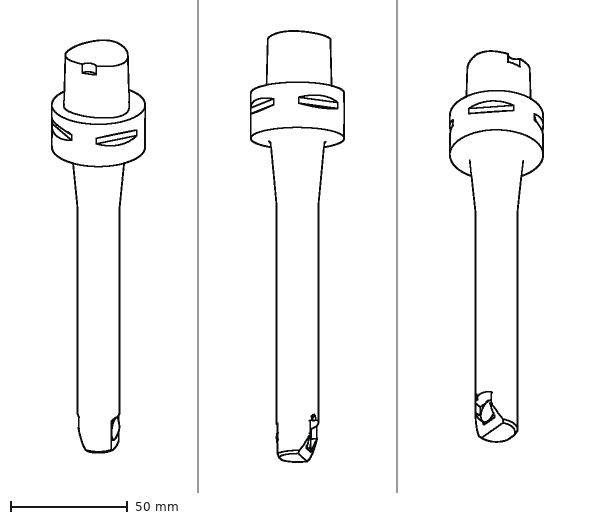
import cadquery as cq
import math

TOTAL_LENGTH = 184.5
FLANGE_RADIUS = 40.0 / 2
FLANGE_LENGTH = 20.0
BAR_RADIUS = 18.0 / 2
TIP_CHAMFER = 1.1

SHANK_LENGTH = 24.0
SHANK_BASE_RADIUS = 14.0
SHANK_TAPER = 1 / 20
LOBE_RISE = 1.0
LOBE_HALF_ANGLE = 21
LOBE_CREST_ANGLES = (90, 210, 330)
LOBE_PITCH = 120

NOTCH_RADIUS = 3.5
NOTCH_DEPTH = 4.0
NOTCH_BITE = 2.2

NECK_RADIUS = 11.5
NECK_TOP_DROP = 3.0
NECK_BOTTOM_Z = 111.6

GROOVE_COUNT = 4
GROOVE_DROP = 8.0
GROOVE_FLOOR_DISTANCE = 17.5
GROOVE_FLOOR_WIDTH = 2.5
GROOVE_FLANK_ANGLE = 30

RELIEF_BREAK_X = -4.6
RELIEF_BREAK_Z = 3.3
RELIEF_UPPER_ANGLE = 25
RELIEF_LOWER_ANGLE = 35

INSERT_RADIUS = 10.0 / 2
INSERT_Z = 8.9
DOME_APEX_X = 9.0
DOME_RADIUS = 8.3
POCKET_FLOOR_X = RELIEF_BREAK_X
POCKET_TOP_Z = 13.7
POCKET_LEDGE_Z = 9.2
POCKET_HALF_WIDTH = 5.5
RUNOUT_NEAR_Y = -4.8
RUNOUT_FAR_Y = 3.0
FLAT_X = 7.5
FLAT_TOP_Z = 14.5
SHOULDER_ANGLE = 25

COOLANT_RADIUS = 1.55 / 2
COOLANT_Y = 3.7
COOLANT_EXIT_Z = 16.2
COOLANT_ANGLE = 50
COOLANT_DEPTH = 5.5
COUNTERBORE_RADIUS = 2.4 / 2
COUNTERBORE_DEPTH = 1.0

FLANGE_TOP_Z = TOTAL_LENGTH - SHANK_LENGTH
FLANGE_BOTTOM_Z = FLANGE_TOP_Z - FLANGE_LENGTH
NECK_TOP_Z = FLANGE_BOTTOM_Z - NECK_TOP_DROP
SHANK_END_RADIUS = SHANK_BASE_RADIUS - SHANK_TAPER * SHANK_LENGTH / 2
CLEARANCE = 1.8
REACH = BAR_RADIUS + CLEARANCE


def tan_degrees(angle):
    return math.tan(math.radians(angle))


def turned_body():
    """Bar, conical neck with its fillet, and flange, turned about Z."""
    fillet = NECK_TOP_DROP
    diagonal = fillet * (1 - math.cos(math.radians(45)))
    return (
        cq.Workplane("XZ")
        .moveTo(0, 0)
        .lineTo(BAR_RADIUS - TIP_CHAMFER, 0)
        .lineTo(BAR_RADIUS, TIP_CHAMFER)
        .lineTo(BAR_RADIUS, NECK_BOTTOM_Z)
        .lineTo(NECK_RADIUS, NECK_TOP_Z)
        .threePointArc(
            (NECK_RADIUS + diagonal, FLANGE_BOTTOM_Z - diagonal),
            (NECK_RADIUS + fillet, FLANGE_BOTTOM_Z),
        )
        .lineTo(FLANGE_RADIUS, FLANGE_BOTTOM_Z)
        .lineTo(FLANGE_RADIUS, FLANGE_TOP_Z)
        .lineTo(0, FLANGE_TOP_Z)
        .close()
        .revolve(360, (0, 0), (0, 1))
    )


def shank_point(mean_radius, crest_angle, offset_angle):
    """Point of the three-lobed curve, at an angle counted from one lobe's crest."""
    offset = math.radians(offset_angle)
    along = mean_radius * math.cos(offset) + LOBE_RISE * math.cos(2 * offset)
    across = mean_radius * math.sin(offset) - LOBE_RISE * math.sin(2 * offset)
    crest = math.radians(crest_angle)
    return (
        along * math.cos(crest) - across * math.sin(crest),
        along * math.sin(crest) + across * math.cos(crest),
    )


def shank_outline(plane, mean_radius):
    """Closed outline of one tight arc per lobe and one wide arc between lobes."""
    start = shank_point(mean_radius, LOBE_CREST_ANGLES[0], -LOBE_HALF_ANGLE)
    outline = plane.moveTo(*start)
    for crest in LOBE_CREST_ANGLES:
        outline = outline.threePointArc(
            shank_point(mean_radius, crest, 0),
            shank_point(mean_radius, crest, LOBE_HALF_ANGLE),
        )
        outline = outline.threePointArc(
            shank_point(mean_radius, crest, LOBE_PITCH / 2),
            shank_point(mean_radius, crest, LOBE_PITCH - LOBE_HALF_ANGLE),
        )
    return outline.close()


def polygon_shank():
    base = shank_outline(cq.Workplane("XY", origin=(0, 0, FLANGE_TOP_Z)), SHANK_BASE_RADIUS)
    end_plane = base.workplane(offset=SHANK_LENGTH, origin=(0, 0, FLANGE_TOP_Z))
    return shank_outline(end_plane, SHANK_END_RADIUS).loft(ruled=True)


def orientation_notch():
    flat_y = -(SHANK_END_RADIUS - LOBE_RISE)
    centre_y = flat_y + NOTCH_BITE - NOTCH_RADIUS
    return (
        cq.Workplane("XY", origin=(0, centre_y, TOTAL_LENGTH - NOTCH_DEPTH))
        .circle(NOTCH_RADIUS)
        .extrude(NOTCH_DEPTH + CLEARANCE)
    )


def gripper_groove(angle):
    """Straight V groove with a flat floor, cut along a chord of the flange."""
    outer_x = FLANGE_RADIUS + CLEARANCE
    half_floor = GROOVE_FLOOR_WIDTH / 2
    half_mouth = half_floor + (outer_x - GROOVE_FLOOR_DISTANCE) * tan_degrees(GROOVE_FLANK_ANGLE)
    groove = (
        cq.Workplane("XZ", origin=(0, 0, FLANGE_TOP_Z - GROOVE_DROP))
        .polyline([
            (GROOVE_FLOOR_DISTANCE, -half_floor),
            (outer_x, -half_mouth),
            (outer_x, half_mouth),
            (GROOVE_FLOOR_DISTANCE, half_floor),
        ])
        .close()
        .extrude(FLANGE_RADIUS, both=True)
    )
    return groove.rotate((0, 0, 0), (0, 0, 1), angle)


def tip_relief():
    """Two sloping planes that thin the bar's -X side towards the tip."""
    upper_z = RELIEF_BREAK_Z + (RELIEF_BREAK_X + REACH) / tan_degrees(RELIEF_UPPER_ANGLE)
    lower_x = RELIEF_BREAK_X + (RELIEF_BREAK_Z + CLEARANCE) * tan_degrees(RELIEF_LOWER_ANGLE)
    return (
        cq.Workplane("XZ")
        .polyline([
            (-REACH, upper_z),
            (RELIEF_BREAK_X, RELIEF_BREAK_Z),
            (lower_x, -CLEARANCE),
            (-REACH, -CLEARANCE),
        ])
        .close()
        .extrude(REACH, both=True)
    )


def stepped_cut(floor_x, bottom_z, top_z, half_width):
    """Cut outwards from a floor plane at constant X, closed above by a sloping shoulder."""
    outer_x = math.copysign(REACH, floor_x)
    outer_z = top_z + abs(outer_x - floor_x) * tan_degrees(SHOULDER_ANGLE)
    return (
        cq.Workplane("XZ")
        .polyline([
            (floor_x, bottom_z),
            (floor_x, top_z),
            (outer_x, outer_z),
            (outer_x, bottom_z),
        ])
        .close()
        .extrude(half_width, both=True)
    )


def insert_pocket():
    """Wide part above the ledge, round bore around the insert, and runout through the tip."""
    wide_part = stepped_cut(POCKET_FLOOR_X, POCKET_LEDGE_Z, POCKET_TOP_Z, POCKET_HALF_WIDTH)
    outwards = POCKET_FLOOR_X + REACH
    bore = (
        cq.Workplane("YZ", origin=(-REACH, 0, INSERT_Z))
        .circle(INSERT_RADIUS)
        .extrude(outwards)
    )
    runout = cq.Workplane("XY").box(
        outwards, RUNOUT_FAR_Y - RUNOUT_NEAR_Y, INSERT_Z + CLEARANCE, centered=False
    )
    runout = runout.translate((-REACH, RUNOUT_NEAR_Y, -CLEARANCE))
    return wide_part.union(bore).union(runout)


def coolant_hole():
    """Blind counterbored hole that leaves the bar's -X side pointing down towards the insert."""
    angle = math.radians(COOLANT_ANGLE)
    exit_x = -math.sqrt(BAR_RADIUS**2 - COOLANT_Y**2)
    inward = cq.Vector(math.sin(angle), 0, math.cos(angle))
    start = cq.Vector(exit_x, COOLANT_Y, COOLANT_EXIT_Z) - inward * CLEARANCE
    hole = cq.Solid.makeCylinder(COOLANT_RADIUS, CLEARANCE + COOLANT_DEPTH, start, inward)
    counterbore = cq.Solid.makeCylinder(
        COUNTERBORE_RADIUS, CLEARANCE + COUNTERBORE_DEPTH, start, inward
    )
    return cq.Workplane(hole).union(cq.Workplane(counterbore))


def make_insert():
    """Round plug along X: -X face flush with the pocket floor, domed end at +X."""
    dome_centre_x = DOME_APEX_X - DOME_RADIUS
    rim_x = dome_centre_x + math.sqrt(DOME_RADIUS**2 - INSERT_RADIUS**2)
    middle_radius = INSERT_RADIUS / 2
    middle_x = dome_centre_x + math.sqrt(DOME_RADIUS**2 - middle_radius**2)
    return (
        cq.Workplane("XY", origin=(0, 0, INSERT_Z))
        .moveTo(POCKET_FLOOR_X, 0)
        .lineTo(POCKET_FLOOR_X, INSERT_RADIUS)
        .lineTo(rim_x, INSERT_RADIUS)
        .threePointArc((middle_x, middle_radius), (DOME_APEX_X, 0))
        .close()
        .revolve(360, (0, 0), (1, 0))
    )


def make_holder(insert):
    holder = turned_body().union(polygon_shank()).cut(orientation_notch())
    for i in range(GROOVE_COUNT):
        holder = holder.cut(gripper_groove((i + 0.5) * 360 / GROOVE_COUNT))
    holder = holder.cut(tip_relief())
    holder = holder.cut(insert_pocket())
    holder = holder.cut(stepped_cut(FLAT_X, -CLEARANCE, FLAT_TOP_Z, REACH))
    return holder.cut(coolant_hole()).cut(insert)


insert = make_insert()
holder = make_holder(insert)
result = cq.Compound.makeCompound([holder.solids().val(), insert.solids().val()])